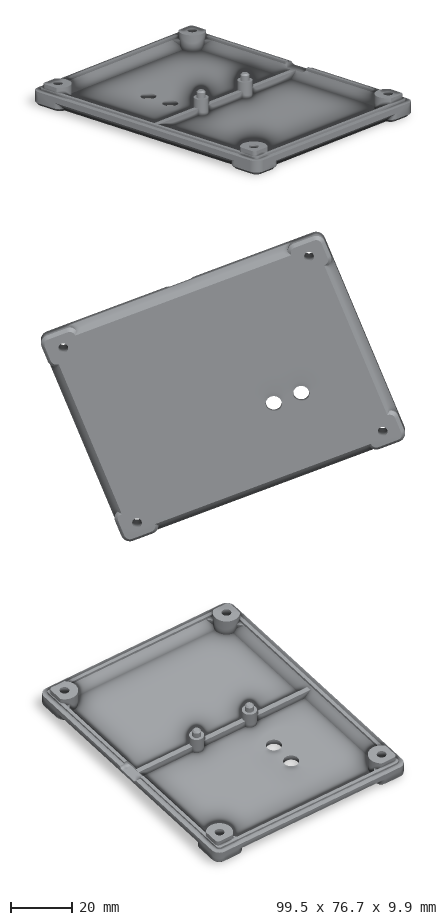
import cadquery as cq

length = 99.5
width = 76.7
rim_height = 5.1
corner_radius = 3.0
bottom_chamfer = 1.1

lip_inset = 1.8
lip_top = 5.8
lip_radius = corner_radius - lip_inset
wall = 3.0

floor_top = 1.8
slope_top = 4.9
cavity_slope = slope_top - floor_top

undercut = 3.1

foot_length_x = 12.8
foot_length_y = 11.4

screw_inset_x = 6.6
screw_inset_y = 5.7
screw_diameter = 3.2
boss_diameter = 9.0
boss_top = 7.5
boss_inset_x = 2.9
boss_inset_y = 2.1
boss_corner_radius = 1.2

rib_width = 1.8
rib_top = 4.3
post_diameter = 5.0
post_top = 7.5
pin_diameter = 3.0
pin_top = 9.9
pin_chamfer = 0.5
post_offset = 10.6

floor_hole_diameter = 5.3
floor_hole_xs = (-23.3, -13.6)

notch_width = 9.2
notch_floor = 4.2
notch_radius = 1.4
notch_depth = wall + slope_top - notch_floor

half_length = length / 2
half_width = width / 2
corner_signs = [(sx, sy) for sx in (-1, 1) for sy in (-1, 1)]


def inset_plate(inset, bottom, top):
    """Rectangular plate a given distance inside the outline, between two heights."""
    return (
        cq.Workplane("XY").workplane(offset=bottom)
        .rect(length - 2 * inset, width - 2 * inset).extrude(top - bottom)
    )


def cylinder(x, y, diameter, bottom, top):
    return (
        cq.Workplane("XY").workplane(offset=bottom)
        .center(x, y).circle(diameter / 2).extrude(top - bottom)
    )


def to_corner(shape, sx, sy):
    """Mirror a shape made for the -X -Y corner to another corner."""
    if sx > 0:
        shape = shape.mirror("YZ")
    if sy > 0:
        shape = shape.mirror("XZ")
    return shape


def make_blank():
    base = inset_plate(0, 0, rim_height).edges("|Z").fillet(corner_radius)
    base = base.faces("<Z").chamfer(bottom_chamfer)
    lip = inset_plate(lip_inset, rim_height, lip_top).edges("|Z").fillet(lip_radius)
    return base.union(lip)


def make_cavity():
    mouth = inset_plate(wall, slope_top, lip_top)
    slopes = (
        cq.Workplane("XY").workplane(offset=slope_top)
        .rect(length - 2 * wall, width - 2 * wall)
        .workplane(offset=-cavity_slope)
        .rect(length - 2 * (wall + cavity_slope), width - 2 * (wall + cavity_slope))
        .loft(ruled=True)
    )
    return mouth.union(slopes)


def make_undercut():
    """Edge material outside a 45 degree slope, all the way round."""
    ring = inset_plate(0, 0, undercut)
    core = (
        cq.Workplane("XY")
        .rect(length - 2 * undercut, width - 2 * undercut)
        .workplane(offset=undercut)
        .rect(length, width)
        .loft(ruled=True)
    )
    return ring.cut(core)


def make_foot():
    """Rounded, chamfered corner foot left standing in the undercut."""
    return (
        cq.Workplane("XY")
        .box(foot_length_x, foot_length_y, undercut, centered=False)
        .edges("|Z").fillet(corner_radius)
        .faces("<Z").chamfer(bottom_chamfer)
        .translate((-half_length, -half_width, 0))
    )


def make_gusset():
    """Triangular shelf across the corner of the sloped cavity."""
    return (
        cq.Workplane("XY").workplane(offset=floor_top)
        .moveTo(wall - half_length, wall - half_width)
        .lineTo(foot_length_x - half_length, wall - half_width)
        .lineTo(wall - half_length, foot_length_y - half_width)
        .close().extrude(cavity_slope)
    )


def make_boss():
    """Round boss with two flats that meet in a rounded outer corner."""
    x = screw_inset_x - half_length
    y = screw_inset_y - half_width
    height = boss_top - floor_top
    size_x = boss_diameter / 2 + screw_inset_x - boss_inset_x
    size_y = boss_diameter / 2 + screw_inset_y - boss_inset_y
    block = (
        cq.Workplane("XY")
        .box(size_x, size_y, height, centered=False)
        .edges("|Z and <X and <Y").fillet(boss_corner_radius)
        .translate((boss_inset_x - half_length, boss_inset_y - half_width, floor_top))
    )
    corner = cq.Workplane("XY").box(screw_inset_x, screw_inset_y, height, centered=False)
    corner = corner.translate((-half_length, -half_width, floor_top))
    round_boss = cylinder(x, y, boss_diameter, floor_top, boss_top)
    return round_boss.union(corner).intersect(block)


def make_rib():
    return (
        cq.Workplane("XY").workplane(offset=floor_top)
        .rect(rib_width, width - 2 * wall).extrude(rib_top - floor_top)
    )


def make_post(y):
    post = cylinder(0, y, post_diameter, floor_top, post_top)
    pin = cylinder(0, y, pin_diameter, post_top, pin_top).faces(">Z").chamfer(pin_chamfer)
    return post.union(pin)


def make_notch():
    """Cutter with rounded lower edges, tall enough to open through the lip."""
    height = 2 * (lip_top - notch_floor)
    return (
        cq.Workplane("XY")
        .box(notch_width, notch_depth, height, centered=(True, False, False))
        .edges("|Y and <Z").fillet(notch_radius)
        .translate((0, half_width - notch_depth, notch_floor))
    )


undercuts = make_undercut()
for sx, sy in corner_signs:
    undercuts = undercuts.cut(to_corner(make_foot(), sx, sy))

result = make_blank().cut(make_cavity()).cut(undercuts).union(make_rib())
result = result.cut(make_notch())
for sx, sy in corner_signs:
    result = result.union(to_corner(make_gusset(), sx, sy)).union(to_corner(make_boss(), sx, sy))
for y in (-post_offset, post_offset):
    result = result.union(make_post(y))

for sx, sy in corner_signs:
    x = sx * (half_length - screw_inset_x)
    y = sy * (half_width - screw_inset_y)
    result = result.cut(cylinder(x, y, screw_diameter, 0, boss_top))
for x in floor_hole_xs:
    result = result.cut(cylinder(x, -post_offset, floor_hole_diameter, 0, floor_top))